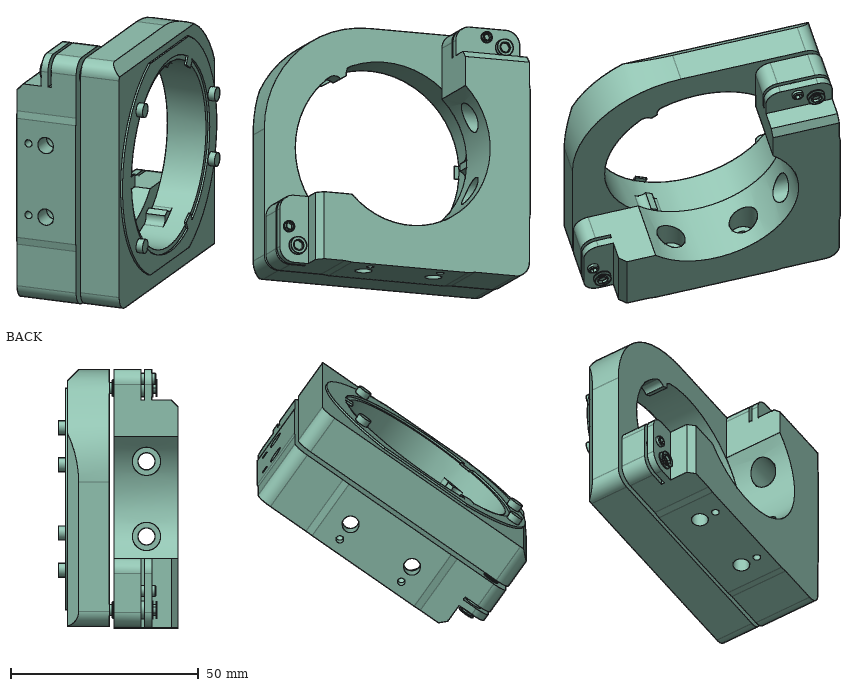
import cadquery as cq
import math


HALF = 34.5
CORNER_R = 4.0

FRAME_T = 17.1
FRAME_BORE_R = 23.0
FRAME_BASE = 34.2
ARM_INNER = -15.9
PAD_HALF_LENGTH = 16.6
PAD_RAMP = 2.0

TIP_START = 26.35
TIP_FACE_X = 7.0
SHOULDER_CHAMFER = 1.8
SLOT_X = 9.0
SLOT_W = 0.9

HOLE_X = 8.4
HOLE_OFFSET = 10.0
HOLE_D = 4.5
COUNTERBORE_D = 7.5
COUNTERBORE_FLOOR = 6.0
DOWEL_X = 3.45
DOWEL_D = 2.0
DOWEL_DEPTH = 4.0

PLATE_X = 18.3
PLATE_T = 11.2
PLATE_BACK_X = PLATE_X + PLATE_T
PLATE_BASE = 34.0
PLATE_BORE_R = 51.2 / 2
PLATE_ROUND_R = 30.0
PLATE_CHAMFER = 3.0

SEAT_ANGLES = (60, 180, 300)
SEAT_LENGTH = 5.5
SEAT_INNER_R = 23.7
SEAT_HALF_W = 1.0
SEAT_FILLET_R = 2.2
ROOT_OVERLAP = 0.35

RING_T = 0.55
RING_R = 32.4
RING_BORE_R = 26.9
RING_CENTRE_Y = -0.6
RING_FLAT = 29.5
CLAW_INNER_R = 24.4
CLAW_W = 3.45
PIN_D = 3.8
PIN_LENGTH = 1.85
PIN_PLACES = ((27.6, 9.1), (-21.8, 19.0))

ADJUSTER = (-29.6, 29.5)
ADJUSTER_D = 3.0
ADJUSTER_HEAD_X = 5.65
ADJUSTER_HEAD_D = 4.5
ADJUSTER_HEAD_T = 0.3
ADJUSTER_HEX = 3.0
BUSHING_D = 4.75
BUSHING_X = 6.7
COLLAR_CHAMFER = 0.3
COLLAR_T = 2 * COLLAR_CHAMFER
COLLAR_D = 4.5
LOCK = (-24.55, 32.0)
LOCK_D = 3.0
LOCK_X = 5.9
LOCK_CHAMFER = 0.3
LOCK_HEX = 2.0
SOCKET_DEPTH = 1.05


def yz(x):
    """Sketch plane across the bore axis; local axes are Y and Z."""
    return cq.Workplane("YZ", origin=(x, 0, 0))


def disc(x, length, diameter, place=(0, 0)):
    return yz(x).center(*place).circle(diameter / 2).extrude(length)


def hexagon(x, length, corner_d, place):
    return yz(x).center(*place).polygon(6, corner_d).extrude(length)


def block(x0, x1, y0, y1, z0, z1):
    return cq.Workplane("XY").box(x1 - x0, y1 - y0, z1 - z0, centered=False).translate((x0, y0, z0))


def swapped(body):
    """The same body with Y and Z exchanged."""
    return body.mirror((0, 1, -1))


def both_arms(body):
    return body.union(swapped(body))


def round_corners(body, x_mid, corners, radius):
    for y, z in corners:
        body = body.edges(cq.selectors.NearestToPointSelector((x_mid, y, z))).fillet(radius)
    return body


def frame_blank():
    pad_end = PAD_HALF_LENGTH + PAD_RAMP
    bottom = [
        (-pad_end, -FRAME_BASE),
        (-PAD_HALF_LENGTH, -HALF),
        (PAD_HALF_LENGTH, -HALF),
        (pad_end, -FRAME_BASE),
        (HALF, -FRAME_BASE),
        (HALF, ARM_INNER),
    ]
    side = [(z, y) for y, z in reversed(bottom)]
    outline = [(-FRAME_BASE, -FRAME_BASE)] + bottom + [(ARM_INNER, ARM_INNER)] + side
    corners = (
        (-FRAME_BASE, -FRAME_BASE),
        (HALF, -FRAME_BASE),
        (HALF, ARM_INNER),
        (ARM_INNER, HALF),
        (-FRAME_BASE, HALF),
    )
    body = yz(0).polyline(outline).close().extrude(FRAME_T)
    body = round_corners(body, FRAME_T / 2, corners, CORNER_R)
    return body.cut(disc(0, FRAME_T, 2 * FRAME_BORE_R))


def tip_cut():
    """Material removed at the upper arm: shoulder step, its chamfer and the clamp slot."""
    step_profile = [
        (0, TIP_START - SHOULDER_CHAMFER),
        (SHOULDER_CHAMFER, TIP_START),
        (TIP_FACE_X, TIP_START),
        (TIP_FACE_X, HALF),
        (0, HALF),
    ]
    arm_width = ARM_INNER + HALF
    step = cq.Workplane("XZ", origin=(0, ARM_INNER, 0)).polyline(step_profile).close().extrude(arm_width)
    slot = block(SLOT_X, SLOT_X + SLOT_W, -HALF, ARM_INNER, TIP_START, HALF)
    return step.union(slot)


def side_holes():
    """Counterbored and dowel holes entering the -Y side."""
    cutters = cq.Workplane("XY")
    through = HALF + ARM_INNER
    for z in (-HOLE_OFFSET, HOLE_OFFSET):
        entry = cq.Workplane("XZ", origin=(0, -HALF, z))
        hole = entry.center(HOLE_X, 0).circle(HOLE_D / 2).extrude(-through)
        counterbore = (
            entry.workplane(offset=-COUNTERBORE_FLOOR)
            .center(HOLE_X, 0)
            .circle(COUNTERBORE_D / 2)
            .extrude(COUNTERBORE_FLOOR - through)
        )
        dowel = entry.center(DOWEL_X, 0).circle(DOWEL_D / 2).extrude(-DOWEL_DEPTH)
        tip_centre = cq.Vector(DOWEL_X, DOWEL_DEPTH - HALF, z)
        tip_cone = cq.Solid.makeCone(DOWEL_D / 2, 0, DOWEL_D / 2, tip_centre, cq.Vector(0, 1, 0))
        cutters = cutters.add(hole).add(counterbore).add(dowel).add(tip_cone)
    return cutters.combine()


def screws():
    """Adjuster with its bushing, and the lock screw beside it, in the upper arm."""
    head = disc(ADJUSTER_HEAD_X, ADJUSTER_HEAD_T, ADJUSTER_HEAD_D, ADJUSTER)
    shaft = disc(ADJUSTER_HEAD_X, PLATE_X - ADJUSTER_HEAD_X, ADJUSTER_D, ADJUSTER)
    bushing = disc(BUSHING_X, FRAME_T - BUSHING_X, BUSHING_D, ADJUSTER)
    collar = disc(FRAME_T, COLLAR_T, COLLAR_D, ADJUSTER).faces(">X").chamfer(COLLAR_CHAMFER)
    lock = disc(LOCK_X, SLOT_X + SLOT_W - LOCK_X, LOCK_D, LOCK).faces("<X").chamfer(LOCK_CHAMFER)
    return head.union(shaft).union(bushing).union(collar).union(lock)


def sockets():
    adjuster = hexagon(ADJUSTER_HEAD_X, SOCKET_DEPTH, ADJUSTER_HEX, ADJUSTER)
    return adjuster.union(hexagon(LOCK_X, SOCKET_DEPTH, LOCK_HEX, LOCK))


def plate_blank():
    body = block(PLATE_X, PLATE_BACK_X, -PLATE_BASE, HALF, -PLATE_BASE, HALF)
    top_edge = [
        (PLATE_BACK_X - PLATE_CHAMFER, HALF),
        (PLATE_BACK_X, HALF),
        (PLATE_BACK_X, HALF - PLATE_CHAMFER),
    ]
    bevel = cq.Workplane("XZ", origin=(0, HALF, 0)).polyline(top_edge).close().extrude(2 * HALF)
    x_mid = PLATE_X + PLATE_T / 2
    small_corners = ((-PLATE_BASE, -PLATE_BASE), (HALF, -PLATE_BASE), (-PLATE_BASE, HALF))
    body = round_corners(body, x_mid, small_corners, CORNER_R)
    body = round_corners(body, x_mid, ((HALF, HALF),), PLATE_ROUND_R)
    return body.cut(both_arms(bevel)).cut(disc(PLATE_X, PLATE_T, 2 * PLATE_BORE_R))


def seat(angle):
    """Small land standing into the bore, blended to the wall by a concave fillet on each side."""
    blend_centre_r = PLATE_BORE_R - SEAT_FILLET_R
    blend_side = SEAT_HALF_W + SEAT_FILLET_R
    blend_reach = math.sqrt(blend_centre_r**2 - blend_side**2)
    half_span = blend_side * PLATE_BORE_R / blend_centre_r
    root = PLATE_BORE_R + ROOT_OVERLAP
    land = block(PLATE_X, PLATE_X + SEAT_LENGTH, SEAT_INNER_R, root, -half_span, half_span)
    for side in (-blend_side, blend_side):
        land = land.cut(disc(PLATE_X, SEAT_LENGTH, 2 * SEAT_FILLET_R, (blend_reach, side)))
    return land.rotate((0, 0, 0), (1, 0, 0), angle)


def retaining_ring():
    ring = disc(PLATE_BACK_X, RING_T, 2 * RING_R, (RING_CENTRE_Y, 0))
    ring = ring.intersect(block(PLATE_BACK_X, PLATE_BACK_X + RING_T, -HALF, HALF, -RING_FLAT, RING_FLAT))
    ring = ring.cut(disc(PLATE_BACK_X, RING_T, 2 * RING_BORE_R))
    half_w = CLAW_W / 2
    root = RING_BORE_R + ROOT_OVERLAP
    claw = block(PLATE_BACK_X, PLATE_BACK_X + RING_T, CLAW_INNER_R, root, -half_w, half_w)
    for angle in SEAT_ANGLES:
        ring = ring.union(claw.rotate((0, 0, 0), (1, 0, 0), angle))
    for y, z in PIN_PLACES:
        for pin_z in (-z, z):
            ring = ring.union(disc(PLATE_BACK_X, RING_T + PIN_LENGTH, PIN_D, (y, pin_z)))
    return ring


frame = frame_blank().cut(both_arms(tip_cut())).cut(both_arms(side_holes()))

plate = plate_blank()
for seat_angle in SEAT_ANGLES:
    plate = plate.union(seat(seat_angle))
plate = plate.union(retaining_ring())

upper_screws = screws().cut(sockets())
result = frame.union(upper_screws).union(swapped(upper_screws)).union(plate)